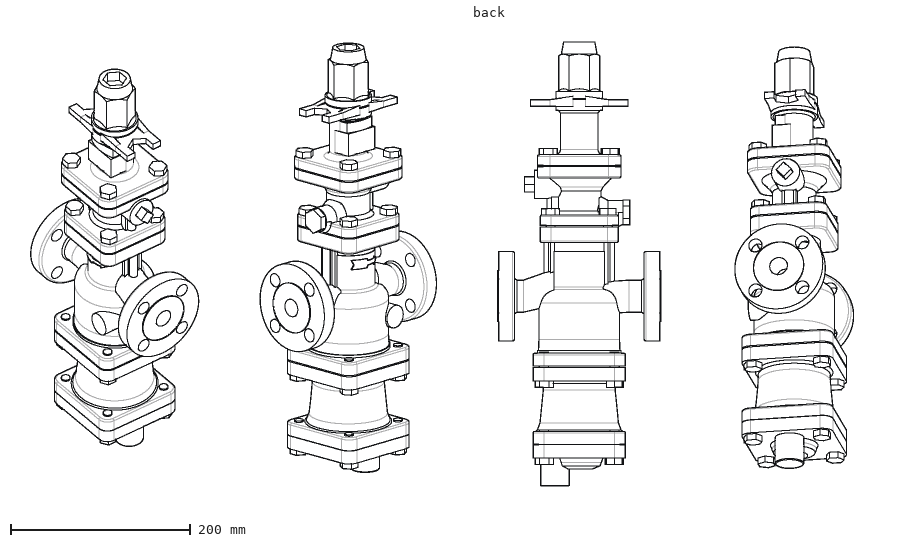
import cadquery as cq
import math


FACE_TO_FACE = 182.0
TOP_Z = 283.3
BOTTOM_Z = -211.7
OVERLAP = 1.0

PIPE_FLANGE_DIA = 100.0
PIPE_FLANGE_BACK_X = 72.0
PIPE_FLANGE_ROUND = 2.5
RAISED_FACE_DIA = 57.0
RAISED_FACE_HEIGHT = 1.3
PIPE_BOLT_DIA = 15.0
PIPE_BOLT_COUNT = 4
PIPE_BOLT_START_ANGLE = 45.0
PIPE_BOLT_CIRCLE_DIA = 75.0
BORE_DIA = 20.0
BORE_DEPTH = 40.0
NECK_RADIUS = 18.0
NECK_HUB_RADIUS = 20.5
NECK_HUB_LENGTH = 2.5
INLET_BEND_X = 55.6
INLET_END_X = 25.0
INLET_END_Z = -2.0
OUTLET_BEND_X = 62.0
OUTLET_END_X = 28.0
OUTLET_END_Z = 10.0
OUTLET_END_RADIUS = 20.0

GASKET_GAP = 1.4
GASKET_INSET = 6.5
FLANGE_EDGE_ROUND = 2.0

HEAD_WIDTH = 17.48
HEAD_HEIGHT = 7.0
BOLT_DIA = 10.0
BOLT_TIP = 1.5

CAP_FLANGE = dict(width=93.0, corner=14.0, bottom=131.5, joint=145.0, top=157.5, bolt=34.5)
PILOT_FLANGE = dict(width=87.0, corner=12.0, bottom=59.5, joint=78.0, top=90.5, bolt=32.0)
BODY_FLANGE = dict(width=103.0, corner=12.0, bottom=-94.5, joint=-78.5, top=-63.5, bolt=39.0)
TRAP_FLANGE = dict(width=103.0, corner=12.0, bottom=-180.5, joint=-165.3, top=-150.5, bolt=39.0)

CAP_TOP_RADIUS = 17.5
CAP_CONE_RADIUS = 20.0
CAP_HEX_WIDTH = 40.0
CAP_HEX_TOP_Z = 269.5
CAP_CHAMFER_DROP = 2.5
SOCKET_WIDTH = 23.0
SOCKET_DEPTH = 12.0
COLLAR_DIA = 52.0
COLLAR_TOP_Z = 228.0
COLLAR_BOTTOM_Z = 207.0
STEM_DIA = 42.0
STEM_FILLET = 6.0
COLLAR_GROOVE_WIDTH = 1.2
COLLAR_GROOVE_DEPTH = 1.0
COLLAR_TAPER_HEIGHT = 3.0
COLLAR_LOWER_RADIUS = 23.5
COLLAR_UPPER_RADIUS = 24.0
BLOCK_BOTTOM_Z = 165.5
BLOCK_STEP_Z = 191.5
BLOCK_TOP_Z = 203.0
BLOCK_STEP = 1.0
BLOCK_UPPER_EDGE_Y = 17.3

HANDLE_TOP_Z = 219.0
HANDLE_BOTTOM_Z = 211.5
HANDLE_HALF_LENGTH = 54.5
HANDLE_HALF_WIDTH = 23.2
JAW_HALF_WIDTH = 12.4
JAW_DEPTH = 13.0
JAW_POINT_DEPTH = 20.5
LUG_INNER_X = 7.0
LUG_OUTER_X = 32.5
LUG_INNER_Y = 16.2
LUG_OUTER_Y = 25.0
LUG_TOP_Z = 222.7

BODY_NECK_RADIUS = 30.0
BODY_RADIUS = 45.0
SHOULDER_TOP_Z = 7.5
SHOULDER_BLEND = 3.0
NECK_STEP = 0.7
NECK_STEP_Z = 50.0
BODY_SKIRT_RADIUS = 45.5
BODY_SKIRT_Z = -48.0
BODY_PAD_RADIUS = 46.7
BODY_PAD_Z = -60.5
BODY_BOSS_DIA = 26.0
BODY_BOSS_X = 29.6
BODY_BOSS_Z = -26.6
BODY_BOSS_REACH = 44.0
ARROW_Z = 39.5
ARROW_HEIGHT = 0.8
ARROW_LENGTH = 38.8
ARROW_NOTCH = 2.4
ARROW_TAPER = 1.5
ARROW_TAIL_HALF_WIDTH = 5.4
ARROW_SHAFT_HALF_WIDTH = 2.7
ARROW_HEAD_LENGTH = 7.9
ARROW_HEAD_HALF_WIDTH = 5.0
DUCT_RIB_RADIUS = 5.0
DUCT_STEP_HALF_WIDTH = 5.5
BODY_DUCT_WEB_X = 31.8
BODY_DUCT_HALF_WIDTH = 10.0
BODY_DUCT_RIB_X = 34.3

PILOT_NECK_RADIUS = 24.3
PILOT_FOOT_RADIUS = 28.5
PILOT_FLARE_Z = 117.0
PILOT_THROAT_RADIUS = 26.5
PILOT_THROAT_Z = 121.5
PILOT_FLARE_RADIUS = 36.0
PILOT_DUCT_WEB_X = 31.0
PILOT_DUCT_HALF_WIDTH = 8.0
SENSE_Z = 124.5
SENSE_BOSS_DIA = 32.0
SENSE_BOSS_END_X = 50.0
SENSE_PLUG_DIAGONAL = 17.0
SENSE_PLUG_LENGTH = 11.0
SCREEN_Z = 93.3
SCREEN_BOSS_DIA = 27.0
SCREEN_BOSS_END_X = -48.5
SCREEN_FLARE_DIA = 32.0
SCREEN_FLARE_LENGTH = 5.0
SCREEN_ROOT_X = -32.0
SCREEN_ROOT_LENGTH = 10.0
SCREEN_ROOT_DIA = 38.0
SCREEN_PLUG_WIDTH = 24.0
SCREEN_PLUG_LENGTH = 7.8
HEX_CORNER_UP = 30.0

TRAP_TOP_RADIUS = 40.2
TRAP_STRAIGHT = 10.0
TRAP_BLEND = 3.0
TRAP_LOWER_RADIUS = 43.8
TRAP_FLARE_Z = -141.0
TRAP_FLARE_RADIUS = 46.8
TRAP_FOOT_RADIUS = 48.5
TRAP_FOOT_HEIGHT = 1.5
TRAP_JOINT_GAP = 0.3
DOME_HEIGHT = 12.0
DOME_FACE_RADIUS = 15.0
DOME_LOWER_RADIUS = 23.3
DOME_LOWER_Z = -189.0
DOME_UPPER_RADIUS = 24.8
DOME_UPPER_Z = -185.0
DOME_ROOT_RADIUS = 26.5
DRAIN_DIA = 32.0
DRAIN_X = 27.0
DRAIN_CHAMFER = 1.0


def cyl_z(radius, z0, z1, x=0.0, y=0.0):
    return cq.Workplane("XY", origin=(x, y, z0)).circle(radius).extrude(z1 - z0)


def cyl_x(radius, x0, x1, z=0.0):
    return cq.Workplane("YZ", origin=(x0, 0, z)).circle(radius).extrude(x1 - x0)


def box(x0, x1, y0, y1, z0, z1):
    return cq.Workplane("XY").box(x1 - x0, y1 - y0, z1 - z0, centered=False).translate((x0, y0, z0))


def hex_prism(plane, origin, width, length, turn=0.0):
    """Hexagon prism from its width across flats; turn 0 puts a corner on the plane's local x."""
    corner_dia = width / math.cos(math.pi / 6)
    return (cq.Workplane(plane, origin=origin).transformed(rotate=(0, 0, turn))
            .polygon(6, corner_dia).extrude(length))


def prism(points, plane, origin, length):
    return cq.Workplane(plane, origin=origin).polyline(points).close().extrude(length)


def square_plate(width, corner, z0, z1):
    return (cq.Workplane("XY", origin=(0, 0, z0)).rect(width, width).extrude(z1 - z0)
            .edges("|Z").fillet(corner))


def flange_pair(spec, heads_up, gap):
    """Two square flanges on a round gasket, with four bolts; heads_up puts the heads on top."""
    width = spec["width"]
    corner = spec["corner"]
    upper = square_plate(width, corner, spec["joint"] + gap / 2, spec["top"])
    upper = upper.faces(">Z").edges().fillet(FLANGE_EDGE_ROUND)
    lower = square_plate(width, corner, spec["bottom"], spec["joint"] - gap / 2)
    if heads_up:
        lower = lower.faces("<Z").edges().fillet(FLANGE_EDGE_ROUND)
    gasket = cyl_z(width / 2 - GASKET_INSET, spec["joint"] - gap - OVERLAP, spec["joint"] + gap + OVERLAP)
    pair = upper.union(lower).union(gasket)
    reach = spec["bolt"]
    if heads_up:
        head_z = spec["top"]
        shank = (spec["bottom"] + OVERLAP, head_z + OVERLAP)
    else:
        head_z = spec["bottom"] - HEAD_HEIGHT
        shank = (spec["bottom"] - OVERLAP, spec["top"] + BOLT_TIP)
    for quarter in range(4):
        head = hex_prism("XY", (reach, reach, head_z), HEAD_WIDTH, HEAD_HEIGHT)
        bolt = head.union(cyl_z(BOLT_DIA / 2, shank[0], shank[1], reach, reach))
        pair = pair.union(bolt.rotate((0, 0, 0), (0, 0, 1), 90 * quarter))
    return pair


def revolve_profile(points):
    """Solid of revolution about Z through (radius, z) points, closed along the axis."""
    outline = [(0, points[0][1])] + points + [(0, points[-1][1])]
    return cq.Workplane("XZ").polyline(outline).close().revolve(360, (0, 0, 0), (0, 1, 0))


def adjusting_cap():
    """Hexagonal cap with a conical top, chamfered corners and a hexagon socket."""
    cone = revolve_profile([(CAP_CONE_RADIUS, CAP_HEX_TOP_Z - OVERLAP), (CAP_CONE_RADIUS, CAP_HEX_TOP_Z),
                            (CAP_TOP_RADIUS, TOP_Z)])
    hexagon = hex_prism("XY", (0, 0, COLLAR_TOP_Z - OVERLAP), CAP_HEX_WIDTH,
                        CAP_HEX_TOP_Z - COLLAR_TOP_Z + OVERLAP)
    corner_r = CAP_HEX_WIDTH / 2 / math.cos(math.pi / 6)
    corner_ring = (cq.Workplane("XZ").moveTo(CAP_CONE_RADIUS, CAP_HEX_TOP_Z)
                   .lineTo(corner_r + OVERLAP, CAP_HEX_TOP_Z)
                   .lineTo(corner_r + OVERLAP, CAP_HEX_TOP_Z - CAP_CHAMFER_DROP).close()
                   .revolve(360, (0, 0, 0), (0, 1, 0)))
    socket = hex_prism("XY", (0, 0, TOP_Z - SOCKET_DEPTH), SOCKET_WIDTH, SOCKET_DEPTH)
    return cone.union(hexagon.cut(corner_ring)).cut(socket)


def handle():
    """Double-ended spanner plate with two sloping lugs along each side, next to the collar."""
    tip = HANDLE_HALF_LENGTH
    plate = box(-tip, tip, -HANDLE_HALF_WIDTH, HANDLE_HALF_WIDTH, HANDLE_BOTTOM_Z, HANDLE_TOP_Z)
    point = tip - JAW_POINT_DEPTH
    throat = tip - JAW_DEPTH
    jaw = prism([(tip, -JAW_HALF_WIDTH), (throat, -JAW_HALF_WIDTH), (point, 0),
                 (throat, JAW_HALF_WIDTH), (tip, JAW_HALF_WIDTH)],
                "XY", (0, 0, HANDLE_BOTTOM_Z), HANDLE_TOP_Z - HANDLE_BOTTOM_Z)
    plate = plate.cut(jaw).cut(jaw.mirror("YZ"))
    lug_plan = prism([(LUG_INNER_X, LUG_INNER_Y), (LUG_OUTER_X, LUG_INNER_Y),
                      (LUG_OUTER_X, HANDLE_HALF_WIDTH), (LUG_INNER_X, LUG_OUTER_Y)],
                     "XY", (0, 0, HANDLE_BOTTOM_Z), LUG_TOP_Z - HANDLE_BOTTOM_Z)
    lug_side = prism([(LUG_INNER_X, HANDLE_BOTTOM_Z), (LUG_OUTER_X, HANDLE_BOTTOM_Z),
                      (LUG_OUTER_X, HANDLE_TOP_Z), (LUG_INNER_X, LUG_TOP_Z)],
                     "XZ", (0, 0, 0), -LUG_OUTER_Y)
    lug = lug_plan.intersect(lug_side)
    lugs = lug.union(lug.mirror("YZ"))
    return plate.union(lugs).union(lugs.mirror("XZ"))


def stem():
    """Round stem with its stop collar, an anti-turn block on the -Y half and a filleted foot."""
    r = STEM_DIA / 2
    foot_z = CAP_FLANGE["top"]
    shaft = cyl_z(r, foot_z - OVERLAP, COLLAR_BOTTOM_Z)
    collar_r = COLLAR_DIA / 2
    groove_r = collar_r - COLLAR_GROOVE_DEPTH
    groove_top = HANDLE_TOP_Z + COLLAR_GROOVE_WIDTH
    collar = revolve_profile([(r, COLLAR_BOTTOM_Z - COLLAR_TAPER_HEIGHT),
                              (COLLAR_LOWER_RADIUS, COLLAR_BOTTOM_Z),
                              (collar_r, COLLAR_BOTTOM_Z), (collar_r, HANDLE_TOP_Z), (groove_r, HANDLE_TOP_Z),
                              (groove_r, groove_top), (collar_r, groove_top), (collar_r, COLLAR_TOP_Z),
                              (COLLAR_UPPER_RADIUS, COLLAR_TOP_Z),
                              (CAP_HEX_WIDTH / 2, COLLAR_TOP_Z + COLLAR_TAPER_HEIGHT)])
    low_block = box(-r, r, -r, 0, BLOCK_BOTTOM_Z, BLOCK_STEP_Z)
    upper_x = r - BLOCK_STEP
    high_block = (cq.Workplane("XY", origin=(0, 0, BLOCK_STEP_Z)).moveTo(-upper_x, 0)
                  .lineTo(-upper_x, -BLOCK_UPPER_EDGE_Y)
                  .threePointArc((0, -r), (upper_x, -BLOCK_UPPER_EDGE_Y))
                  .lineTo(upper_x, 0).close().extrude(BLOCK_TOP_Z - BLOCK_STEP_Z))
    foot = (cq.Workplane("XZ").moveTo(0, foot_z - OVERLAP).lineTo(r + STEM_FILLET, foot_z - OVERLAP)
            .lineTo(r + STEM_FILLET, foot_z).radiusArc((r, foot_z + STEM_FILLET), STEM_FILLET)
            .lineTo(0, foot_z + STEM_FILLET).close().revolve(360, (0, 0, 0), (0, 1, 0)))
    return shaft.union(collar).union(low_block).union(high_block).union(foot)


def side_duct(web_x, web_half_width, rib_x, z0, z1):
    """Upright duct on the +X side: a flat web with a round rib on its outer face."""
    web = box(0, web_x, -web_half_width, web_half_width, z0, z1)
    step = box(0, rib_x, -DUCT_STEP_HALF_WIDTH, DUCT_STEP_HALF_WIDTH, z0, z1)
    return web.union(step).union(cyl_z(DUCT_RIB_RADIUS, z0, z1, rib_x))


def pilot_neck():
    """Neck between cap and pilot flanges, with a plugged boss on each side and a duct."""
    top_z = CAP_FLANGE["bottom"]
    foot_z = PILOT_FLANGE["top"]
    r = PILOT_NECK_RADIUS
    neck = revolve_profile([(PILOT_FOOT_RADIUS, foot_z - OVERLAP), (PILOT_FOOT_RADIUS, foot_z),
                            (r, foot_z + PILOT_FOOT_RADIUS - r), (r, PILOT_FLARE_Z),
                            (PILOT_THROAT_RADIUS, PILOT_THROAT_Z), (PILOT_FLARE_RADIUS, top_z),
                            (PILOT_FLARE_RADIUS, top_z + OVERLAP)])
    sense_boss = cyl_x(SENSE_BOSS_DIA / 2, 0, SENSE_BOSS_END_X, SENSE_Z)
    sense_boss = sense_boss.cut(cyl_z(SENSE_BOSS_END_X, CAP_FLANGE["joint"] - GASKET_GAP, TOP_Z))
    sense_plug = (cq.Workplane("YZ", origin=(SENSE_BOSS_END_X - OVERLAP, 0, SENSE_Z))
                  .polygon(4, SENSE_PLUG_DIAGONAL).extrude(SENSE_PLUG_LENGTH + OVERLAP))
    screen_boss = cyl_x(SCREEN_BOSS_DIA / 2, SCREEN_BOSS_END_X, 0, SCREEN_Z)
    screen_flare = (cq.Workplane("YZ", origin=(SCREEN_BOSS_END_X, 0, SCREEN_Z)).circle(SCREEN_BOSS_DIA / 2)
                    .workplane(offset=SCREEN_FLARE_LENGTH).circle(SCREEN_FLARE_DIA / 2).loft())
    screen_flare = screen_flare.cut(cyl_z(FACE_TO_FACE, SCREEN_Z, TOP_Z))
    screen_root = (cq.Workplane("YZ", origin=(SCREEN_ROOT_X, 0, SCREEN_Z)).circle(SCREEN_BOSS_DIA / 2)
                   .workplane(offset=SCREEN_ROOT_LENGTH).circle(SCREEN_ROOT_DIA / 2).loft())
    screen_plug = hex_prism("YZ", (SCREEN_BOSS_END_X - SCREEN_PLUG_LENGTH, 0, SCREEN_Z), SCREEN_PLUG_WIDTH,
                            SCREEN_PLUG_LENGTH, HEX_CORNER_UP)
    duct = side_duct(PILOT_DUCT_WEB_X, PILOT_DUCT_HALF_WIDTH, PILOT_DUCT_WEB_X, foot_z - OVERLAP, SENSE_Z)
    parts = [sense_boss, sense_plug, screen_boss, screen_flare, screen_root, screen_plug, duct]
    for part in parts:
        neck = neck.union(part)
    return neck


def flow_arrow():
    """Raised arrow toward +X on the -Y side of the body neck."""
    tip_x = ARROW_LENGTH / 2
    head_x = tip_x - ARROW_HEAD_LENGTH
    half = [(-tip_x + ARROW_NOTCH, 0), (-tip_x, ARROW_TAIL_HALF_WIDTH), (-ARROW_TAPER, ARROW_TAIL_HALF_WIDTH),
            (0, ARROW_SHAFT_HALF_WIDTH), (head_x, ARROW_SHAFT_HALF_WIDTH), (head_x, ARROW_HEAD_HALF_WIDTH),
            (tip_x, 0)]
    lower = [(x, -z) for x, z in reversed(half[1:-1])]
    arrow = prism(half + lower, "XZ", (0, 0, ARROW_Z), BODY_RADIUS)
    return arrow.intersect(cyl_z(BODY_NECK_RADIUS + ARROW_HEIGHT, 0, PILOT_FLANGE["bottom"]))


def valve_body():
    """Turned body with a rounded shoulder, a duct on each side, a front boss and the flow arrow."""
    r = BODY_NECK_RADIUS
    base_z = BODY_FLANGE["top"]
    top_z = PILOT_FLANGE["bottom"] + OVERLAP
    shoulder_r = BODY_RADIUS - r
    shoulder_z = SHOULDER_TOP_Z - shoulder_r
    blend_z = shoulder_z + math.sqrt(shoulder_r ** 2 - SHOULDER_BLEND ** 2)
    body = (cq.Workplane("XZ").moveTo(0, base_z - OVERLAP).lineTo(BODY_PAD_RADIUS, base_z - OVERLAP)
            .lineTo(BODY_PAD_RADIUS, BODY_PAD_Z).lineTo(BODY_SKIRT_RADIUS, BODY_PAD_Z)
            .lineTo(BODY_RADIUS, BODY_SKIRT_Z).lineTo(BODY_RADIUS, shoulder_z)
            .radiusArc((r + SHOULDER_BLEND, blend_z), -shoulder_r)
            .radiusArc((r, blend_z + SHOULDER_BLEND), SHOULDER_BLEND)
            .lineTo(r, NECK_STEP_Z).lineTo(r - NECK_STEP, NECK_STEP_Z).lineTo(r - NECK_STEP, top_z)
            .lineTo(0, top_z).close().revolve(360, (0, 0, 0), (0, 1, 0)))
    duct = side_duct(BODY_DUCT_WEB_X, BODY_DUCT_HALF_WIDTH, BODY_DUCT_RIB_X, 0, top_z)
    boss = (cq.Workplane("XZ", origin=(BODY_BOSS_X, 0, BODY_BOSS_Z)).circle(BODY_BOSS_DIA / 2)
            .extrude(BODY_BOSS_REACH))
    return body.union(duct).union(duct.mirror("YZ")).union(boss).union(flow_arrow())


def port():
    """Pipe flange and its hub on the +X side."""
    face = FACE_TO_FACE / 2
    plate_x = face - RAISED_FACE_HEIGHT
    plate = cyl_x(PIPE_FLANGE_DIA / 2, PIPE_FLANGE_BACK_X, plate_x)
    plate = plate.faces("<X").edges().fillet(PIPE_FLANGE_ROUND)
    plate = plate.union(cyl_x(RAISED_FACE_DIA / 2, plate_x - OVERLAP, face))
    holes = (cq.Workplane("YZ", origin=(PIPE_FLANGE_BACK_X, 0, 0))
             .polarArray(PIPE_BOLT_CIRCLE_DIA / 2, PIPE_BOLT_START_ANGLE, 360, PIPE_BOLT_COUNT)
             .circle(PIPE_BOLT_DIA / 2)
             .extrude(face - PIPE_FLANGE_BACK_X))
    hub_x = PIPE_FLANGE_BACK_X - NECK_HUB_LENGTH
    hub = (cq.Workplane("YZ", origin=(hub_x, 0, 0)).circle(NECK_RADIUS)
           .workplane(offset=NECK_HUB_LENGTH + OVERLAP).circle(NECK_HUB_RADIUS).loft())
    return plate.cut(holes).union(hub)


def neck_bend(start_x, end_x, end_z, end_radius):
    """Slanted neck from the pipe axis at start_x to the height end_z at end_x inside the body."""
    return (cq.Workplane("YZ", origin=(start_x, 0, 0)).circle(NECK_RADIUS)
            .workplane(offset=end_x - start_x).center(0, end_z).circle(end_radius).loft())


def ports():
    """Inlet on the -X side and outlet on the +X side, with their necks."""
    inlet_neck = cyl_x(NECK_RADIUS, -PIPE_FLANGE_BACK_X, -INLET_BEND_X)
    inlet_bend = neck_bend(-INLET_BEND_X, -INLET_END_X, INLET_END_Z, NECK_RADIUS)
    outlet_neck = cyl_x(NECK_RADIUS, OUTLET_BEND_X, PIPE_FLANGE_BACK_X)
    outlet_bend = neck_bend(OUTLET_BEND_X, OUTLET_END_X, OUTLET_END_Z, OUTLET_END_RADIUS)
    both = port().union(port().mirror("YZ"))
    return both.union(inlet_neck).union(inlet_bend).union(outlet_neck).union(outlet_bend)


def trap_body():
    """Tapered trap barrel, with a shallow dome and the drain spigot under its base flange."""
    top_z = BODY_FLANGE["bottom"]
    base_z = TRAP_FLANGE["top"]
    under_z = TRAP_FLANGE["bottom"]
    r = TRAP_TOP_RADIUS
    barrel = revolve_profile([(TRAP_FOOT_RADIUS, base_z - OVERLAP), (TRAP_FOOT_RADIUS, base_z),
                              (TRAP_FLARE_RADIUS, base_z + TRAP_FOOT_HEIGHT),
                              (TRAP_LOWER_RADIUS, TRAP_FLARE_Z),
                              (r, top_z - TRAP_STRAIGHT), (r, top_z - TRAP_BLEND), (r + TRAP_BLEND, top_z),
                              (r + TRAP_BLEND, top_z + OVERLAP)])
    dome = revolve_profile([(DOME_FACE_RADIUS, under_z - DOME_HEIGHT), (DOME_LOWER_RADIUS, DOME_LOWER_Z),
                            (DOME_UPPER_RADIUS, DOME_UPPER_Z), (DOME_ROOT_RADIUS, under_z),
                            (DOME_ROOT_RADIUS, under_z + OVERLAP)])
    drain = cyl_z(DRAIN_DIA / 2, BOTTOM_Z, under_z + OVERLAP, DRAIN_X)
    drain = drain.faces("<Z").edges().chamfer(DRAIN_CHAMFER)
    return barrel.union(dome).union(drain)


def bores():
    """Blind bores from both pipe faces."""
    face = FACE_TO_FACE / 2
    return cyl_x(BORE_DIA / 2, -face, BORE_DEPTH - face).union(cyl_x(BORE_DIA / 2, face - BORE_DEPTH, face))


def valve():
    parts = [handle(), stem(), pilot_neck(), valve_body(), ports(), trap_body(),
             flange_pair(CAP_FLANGE, True, GASKET_GAP), flange_pair(PILOT_FLANGE, True, GASKET_GAP),
             flange_pair(BODY_FLANGE, False, GASKET_GAP), flange_pair(TRAP_FLANGE, False, TRAP_JOINT_GAP)]
    whole = adjusting_cap()
    for part in parts:
        whole = whole.union(part)
    return whole.cut(bores())


result = valve()